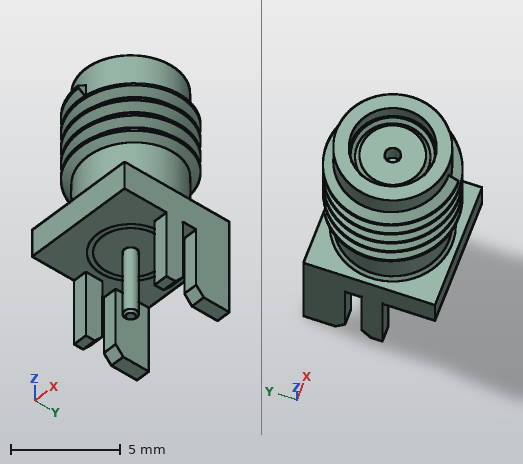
import cadquery as cq


FLANGE_SIZE = 6.38
FLANGE_THICKNESS = 1.6
BARREL_RADIUS = 2.715
BARREL_HEIGHT = 7.92
COLLAR_RADIUS = 2.88
COLLAR_HEIGHT = 0.2
BARREL_TOP = FLANGE_THICKNESS + BARREL_HEIGHT

LEG_LENGTH = 3.82
LEG_WIDTH = 0.82
REAR_LEG_DEPTH = 2.02
BOARD_SLOT = 0.8
FRONT_LEG_DEPTH = 1.01
LEG_CHAMFER_DEPTH = 0.46
LEG_CHAMFER_HEIGHT = 0.5

BORE_RADIUS = 2.0
MOUTH_DEPTH = 0.8
INSULATOR_RADIUS = 1.72
GROOVE_CHAMFER = 0.2
INSULATOR_TOP = BARREL_TOP - MOUTH_DEPTH

PIN_RADIUS = 0.367
PIN_CHAMFER = 0.13
PIN_RECESS = 1.0

THREAD_RADIUS = FLANGE_SIZE / 2
THREAD_PITCH = 0.908
THREAD_RISE = 4.0
THREAD_END_DROP = 1.37
THREAD_ROOT_WIDTH = 0.71
THREAD_CREST_WIDTH = 0.13
THREAD_END_ANGLE = 270.0
ROOT_OVERLAP = 0.1


def cylinder(radius, bottom, top):
    return cq.Workplane("XY").workplane(offset=bottom).circle(radius).extrude(top - bottom)


def make_leg_pair():
    """Rear and front leg of the +X side, with lead-in chamfers on the board slot."""
    half = FLANGE_SIZE / 2
    slot_rear = half - REAR_LEG_DEPTH
    slot_front = slot_rear - BOARD_SLOT
    front_edge = slot_front - FRONT_LEG_DEPTH
    chamfer_top = LEG_CHAMFER_HEIGHT - LEG_LENGTH
    rear_leg = [
        (half, 0),
        (slot_rear, 0),
        (slot_rear, chamfer_top),
        (slot_rear + LEG_CHAMFER_DEPTH, -LEG_LENGTH),
        (half, -LEG_LENGTH),
    ]
    front_leg = [
        (front_edge, 0),
        (slot_front, 0),
        (slot_front, chamfer_top),
        (slot_front - LEG_CHAMFER_DEPTH, -LEG_LENGTH),
        (front_edge, -LEG_LENGTH),
    ]
    plane = cq.Workplane("YZ").workplane(offset=half - LEG_WIDTH)
    return plane.polyline(rear_leg).close().polyline(front_leg).close().extrude(LEG_WIDTH)


def make_thread():
    """Trapezoidal ridge swept along a helix, trimmed to sit on the barrel surface."""
    sweep_degrees = 360 * THREAD_RISE / THREAD_PITCH
    start_angle = THREAD_END_ANGLE - sweep_degrees
    flank_slope = (THREAD_ROOT_WIDTH - THREAD_CREST_WIDTH) / 2 / (THREAD_RADIUS - BARREL_RADIUS)
    inner_radius = BARREL_RADIUS - ROOT_OVERLAP
    inner_half = THREAD_ROOT_WIDTH / 2 + ROOT_OVERLAP * flank_slope
    crest_half = THREAD_CREST_WIDTH / 2
    profile = [
        (inner_radius, -inner_half),
        (THREAD_RADIUS, -crest_half),
        (THREAD_RADIUS, crest_half),
        (inner_radius, inner_half),
    ]
    helix = cq.Workplane(obj=cq.Wire.makeHelix(THREAD_PITCH, THREAD_RISE, BARREL_RADIUS))
    ridge = cq.Workplane("XZ").polyline(profile).close().sweep(helix, isFrenet=True)
    start_height = BARREL_TOP - THREAD_END_DROP - THREAD_RISE
    ridge = ridge.rotate((0, 0, 0), (0, 0, 1), start_angle).translate((0, 0, start_height))
    return ridge.cut(cylinder(BARREL_RADIUS, FLANGE_THICKNESS, BARREL_TOP))


def make_housing():
    """Square flange, threaded barrel and board legs as one body with a through bore."""
    flange = cq.Workplane("XY").box(
        FLANGE_SIZE, FLANGE_SIZE, FLANGE_THICKNESS, centered=(True, True, False)
    )
    barrel_profile = [
        (0, FLANGE_THICKNESS),
        (COLLAR_RADIUS, FLANGE_THICKNESS),
        (BARREL_RADIUS, FLANGE_THICKNESS + COLLAR_HEIGHT),
        (BARREL_RADIUS, BARREL_TOP),
        (0, BARREL_TOP),
    ]
    barrel = cq.Workplane("XZ").polyline(barrel_profile).close().revolve()
    legs = make_leg_pair()
    bore = cylinder(BORE_RADIUS, 0, BARREL_TOP)
    return flange.union(barrel).union(make_thread()).union(legs).union(legs.mirror("YZ")).cut(bore)


def make_sleeve():
    """Tube lining the bore, chamfered on its upper inner edge."""
    wall_profile = [
        (INSULATOR_RADIUS, 0),
        (BORE_RADIUS, 0),
        (BORE_RADIUS, INSULATOR_TOP),
        (INSULATOR_RADIUS + GROOVE_CHAMFER, INSULATOR_TOP),
        (INSULATOR_RADIUS, INSULATOR_TOP - GROOVE_CHAMFER),
    ]
    return cq.Workplane("XZ").polyline(wall_profile).close().revolve()


def make_insulator():
    """Cylinder with a chamfered top edge and a through hole for the pin."""
    body = cylinder(INSULATOR_RADIUS, 0, INSULATOR_TOP).faces(">Z").chamfer(GROOVE_CHAMFER)
    return body.cut(cylinder(PIN_RADIUS, 0, INSULATOR_TOP))


def make_pin():
    """Contact pin, recessed at the top and reaching down to the leg tips."""
    pin = cylinder(PIN_RADIUS, -LEG_LENGTH, INSULATOR_TOP - PIN_RECESS)
    return pin.faces("<Z").chamfer(PIN_CHAMFER)


housing = make_housing().solids()
sleeve = make_sleeve().solids()
insulator = make_insulator().solids()
pin = make_pin().solids()

result = cq.Compound.makeCompound([housing.val(), sleeve.val(), insulator.val(), pin.val()])